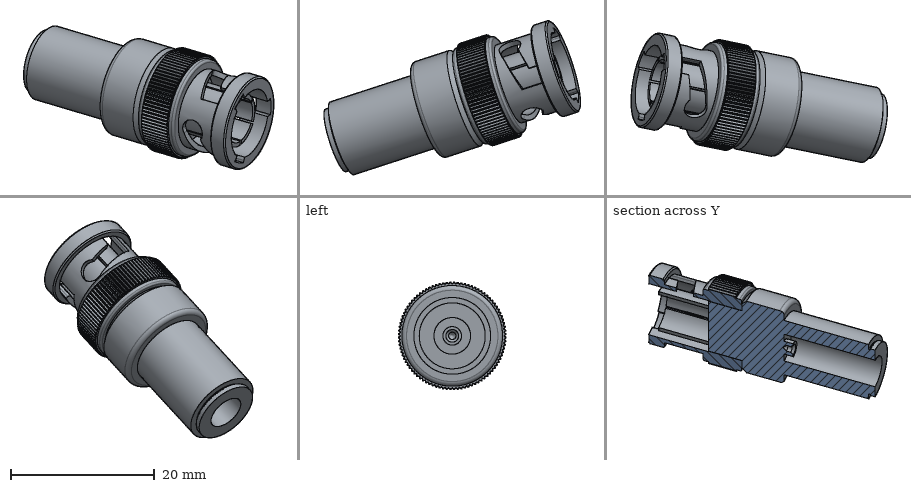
import cadquery as cq
import math


collar_radius = 4.6
collar_end = 0.7
neck_radius = 4.4
barrel_radius = 5.35
barrel_start = 0.95
housing_radius = 7.0
housing_start = 13.65
housing_fillet = 0.65
taper_start = 19.3
taper_depth = 0.75
spigot_end = 25.05
sleeve_radius = 3.8
sleeve_bore_radius = 3.2
sleeve_end = 32.58
slit_count = 6
slit_width = 0.3

cable_bore_radius = 2.55
cable_bore_depth = housing_start
contact_radius = 1.3
contact_length = 1.35
solder_cup_radius = 0.5
solder_cup_rim_radius = 0.9
solder_cup_depth = 1.02

nut_start = taper_start + taper_depth
nut_radius = housing_radius
grip_radius = 7.5
grip_start = 20.85
grip_end = 25.05
grip_chamfer = 0.15
nut_rear_fillet = 0.27
nut_front_fillet = 0.35
shoulder_end = 25.87
skirt_radius = 5.72
nut_bore_radius = 4.95
flange_radius = 6.7
flange_start = 31.62
flange_end = 34.05
flange_edge = 0.2

knurl_count = 92
knurl_depth = 0.27
knurl_land_share = 0.25

slot_count = 3
pocket_radius = 1.6
pocket_x = 28.2
pocket_angle = 61.5
channel_start_angle = 107.0
channel_end_angle = 133.0
channel_start = 28.45
ramp_end = 30.3
ramp_lead = 9.53
groove_radius = 5.38
cutter_outer_radius = 2 * skirt_radius
cutter_inner_radius = skirt_radius / 2


def turned(points):
    """Revolve a closed (x, radius) outline about the X axis."""
    return cq.Workplane("XY").polyline(points).close().revolve(360, (0, 0, 0), (1, 0, 0))


def rod(radius, start, end):
    """Cylinder on the X axis."""
    return cq.Workplane("YZ", origin=(start, 0, 0)).circle(radius).extrude(end - start)


def polar(radius, angle):
    """(y, z) of a point at a radius and an angle in degrees."""
    return (radius * math.cos(math.radians(angle)), radius * math.sin(math.radians(angle)))


def wedge(start_angle, end_angle, start):
    """Sector outline whose corners lie well inside and well outside the skirt wall."""
    angles = [start_angle, (start_angle + end_angle) / 2, end_angle]
    outer = [polar(cutter_outer_radius, a) for a in angles]
    inner = [polar(cutter_inner_radius, a) for a in reversed(angles)]
    return cq.Workplane("YZ", origin=(start, 0, 0)).polyline(outer + inner).close()


def turn_about_axis(body, angle):
    return body.rotate((0, 0, 0), (1, 0, 0), angle)


def axial_box(width, start, end, angle):
    """Box from the axis outward, centred on the given angle."""
    box = cq.Workplane("XY", origin=(start, 0, 0)).box(
        end - start, width, cutter_outer_radius, centered=(False, True, False)
    )
    return turn_about_axis(box, angle - 90)


def make_plug():
    """Rear barrel and housing, the spigot inside the nut, the slit sleeve and the cable bore."""
    collar = rod(collar_radius, 0, collar_end)
    neck = rod(neck_radius, collar_end, barrel_start)
    barrel = rod(barrel_radius, barrel_start, housing_start)
    housing = turned([
        (housing_start, 0),
        (housing_start, housing_radius),
        (taper_start, housing_radius),
        (nut_start, housing_radius - taper_depth),
        (nut_start, 0),
    ]).faces("<X").edges().fillet(housing_fillet)
    spigot = rod(nut_bore_radius, nut_start, spigot_end)
    sleeve = rod(sleeve_radius, spigot_end, sleeve_end)
    plug = collar.union(neck).union(barrel).union(housing).union(spigot).union(sleeve)

    plug = plug.cut(rod(sleeve_bore_radius, spigot_end, sleeve_end))
    for i in range(slit_count):
        slit = axial_box(slit_width, spigot_end, sleeve_end, 90 + i * 360 / slit_count)
        plug = plug.cut(slit)

    plug = plug.cut(rod(cable_bore_radius, 0, cable_bore_depth))
    contact_tip = cable_bore_depth - contact_length
    rim_depth = solder_cup_rim_radius - solder_cup_radius
    contact = rod(contact_radius, contact_tip, cable_bore_depth)
    solder_cup = turned([
        (contact_tip, 0),
        (contact_tip, solder_cup_rim_radius),
        (contact_tip + rim_depth, solder_cup_radius),
        (contact_tip + solder_cup_depth, solder_cup_radius),
        (contact_tip + solder_cup_depth + solder_cup_radius, 0),
    ])
    return plug.union(contact).cut(solder_cup)


def make_knurled_grip():
    """Ring with V-grooves along its length and narrow lands between them."""
    pitch = 360 / knurl_count
    half_groove = (1 - knurl_land_share) * pitch / 2
    outline = []
    for i in range(knurl_count):
        middle = i * pitch
        outline.append(polar(grip_radius, middle - half_groove))
        outline.append(polar(grip_radius - knurl_depth, middle))
        outline.append(polar(grip_radius, middle + half_groove))
    teeth = cq.Workplane("YZ", origin=(grip_start, 0, 0)).polyline(outline).close()
    teeth = teeth.extrude(grip_end - grip_start)
    return teeth.intersect(rod(grip_radius, grip_start, grip_end).edges().chamfer(grip_chamfer))


def make_bayonet_slot():
    """Round pocket, helical ramp and straight channel that opens at the front."""
    pocket = cq.Workplane("XY", origin=(pocket_x, 0, 0)).circle(pocket_radius).extrude(cutter_outer_radius)
    pocket = turn_about_axis(pocket, pocket_angle - 90)

    ramp_start = pocket_x - pocket_radius
    ramp_length = ramp_end - ramp_start
    twist = 360 * ramp_length / ramp_lead
    front_edge = channel_start_angle - twist
    rear_edge = channel_end_angle - 360 * (channel_start - ramp_start) / ramp_lead
    ramp = wedge(front_edge, rear_edge, ramp_start).twistExtrude(ramp_length, twist)
    ramp = ramp.intersect(wedge(pocket_angle, channel_end_angle, ramp_start).extrude(ramp_length))

    channel = wedge(channel_start_angle, channel_end_angle, ramp_end).extrude(flange_end - ramp_end)
    slot = pocket.union(ramp).union(channel)
    return slot.intersect(rod(skirt_radius, shoulder_end, flange_end))


def make_entry_groove():
    """Parallel-sided groove in the bore, under the channel and on through the flange."""
    half_angle = (channel_end_angle - channel_start_angle) / 2
    width = 2 * groove_radius * math.sin(math.radians(half_angle))
    groove = axial_box(width, channel_start, flange_end, channel_start_angle + half_angle)
    return groove.intersect(rod(groove_radius, channel_start, flange_end))


def make_coupling_nut():
    """Knurled shoulder, slotted skirt and front flange around one bore."""
    shoulder = rod(nut_radius, nut_start, shoulder_end)
    shoulder = shoulder.faces("<X").edges().fillet(nut_rear_fillet)
    shoulder = shoulder.faces(">X").edges().fillet(nut_front_fillet)
    skirt = rod(skirt_radius, shoulder_end, flange_start)
    nut = shoulder.union(skirt).union(make_knurled_grip())
    flange = rod(flange_radius, flange_start, flange_end).edges().chamfer(flange_edge)
    nut = nut.union(flange).cut(rod(nut_bore_radius, nut_start, flange_end))

    slot = make_bayonet_slot()
    groove = make_entry_groove()
    for i in range(slot_count):
        turn = i * 360 / slot_count
        nut = nut.cut(turn_about_axis(slot, turn))
        nut = nut.cut(turn_about_axis(groove, turn))
    return nut


plug = make_plug()
coupling_nut = make_coupling_nut()

result = cq.Compound.makeCompound([plug.val(), coupling_nut.val()])